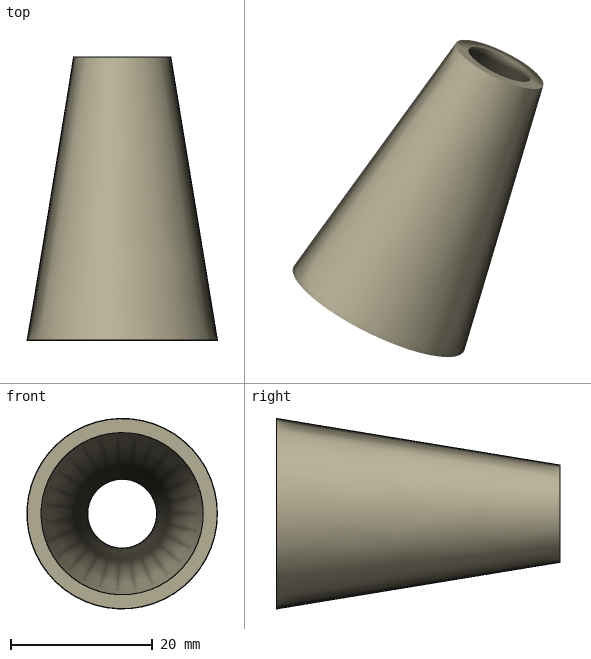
import cadquery as cq

length = 40.0
large_outer_diameter = 26.9
small_outer_diameter = 13.7
wall = 2.0

large_outer_radius = large_outer_diameter / 2
small_outer_radius = small_outer_diameter / 2

half_section = (
    cq.Workplane("XY")
    .moveTo(large_outer_radius, -length / 2)
    .lineTo(small_outer_radius, length / 2)
    .lineTo(small_outer_radius - wall, length / 2)
    .lineTo(large_outer_radius - wall, -length / 2)
    .close()
)

result = half_section.revolve(360, (0, 0, 0), (0, 1, 0))